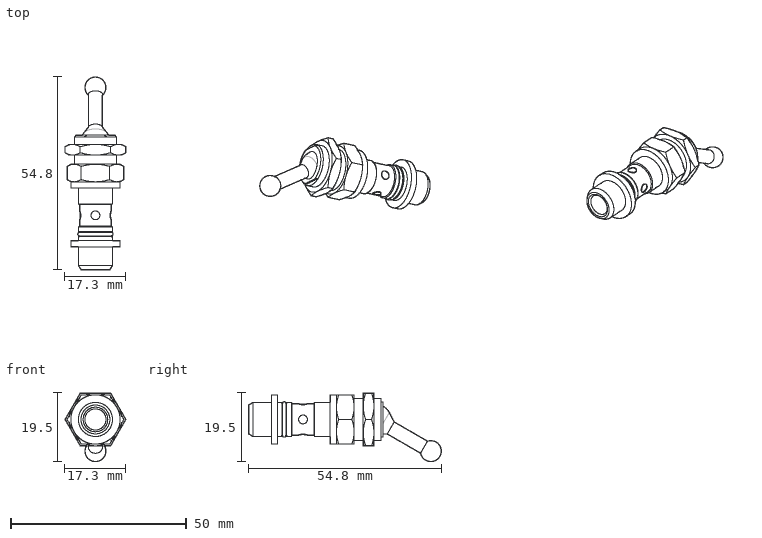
import cadquery as cq
import math

OVERALL_LENGTH = 54.81
SPIGOT_R = 4.85
FLANGE_R = 7.0
FLANGE_THICKNESS = 1.8
THREAD_R = 6.0
TIP_CHAMFER_LENGTH = 1.2
TIP_CHAMFER_DEPTH = 0.75

LOWER_FLANGE_START = 6.5
UPPER_FLANGE_START = 23.2
HEX_START = UPPER_FLANGE_START + FLANGE_THICKNESS
HEX_LENGTH = 5.0
NUT_START = 32.6
NUT_LENGTH = 3.05
COLLAR_SHOULDER = 37.7
COLLAR_END = 38.25

WAIST_R = 4.5
WAIST_START = 12.2
WAIST_END = 18.75
WAIST_BEVEL_LENGTH = 0.2
RECESS_R = 1.25
RECESS_FLOOR_R = 4.3
RECESS_Y = (WAIST_START + WAIST_END) / 2

GROOVE_WIDTH = 1.4
RING_Y = 10.15
RING_OUTER_R = 5.05
RING_SECTION_R = 0.5
GROOVE_R = RING_OUTER_R - RING_SECTION_R

HEX_ACROSS_FLATS = 14.0
NUT_ACROSS_FLATS = 15.0
HEX_CHAMFER_ANGLE = math.radians(30)

COLLAR_BEVEL = 0.45
COLLAR_FLAT_HALF_HEIGHT = 5.0

BORE_R = 3.0
BORE_DEPTH = 9.0
BORE_CHAMFER = 0.5

LEVER_TILT = 30.0
LEVER_LENGTH = 18.0
LEVER_ROD_R = 2.0
KNOB_R = 3.0
PIVOT_BALL_R = 4.3
PIVOT_CONE_START = 2.3
PIVOT_CONE_END = 4.84
PIVOT_Y = OVERALL_LENGTH - KNOB_R - LEVER_LENGTH * math.cos(math.radians(LEVER_TILT))


def along_y(start):
    """Workplane normal to +Y at the given station."""
    return cq.Workplane("XZ", origin=(0, start, 0)).workplane(invert=True)


def cylinder(radius, start, end):
    return along_y(start).circle(radius).extrude(end - start)


def revolved(points):
    """Turn an outline of (radius, station) points about the valve axis."""
    return cq.Workplane("XY").polyline(points).close().revolve(360, (0, 0, 0), (0, 1, 0))


def chamfered_hexagon(across_flats, start, length):
    """Hexagon with corners on the X axis, both ends turned down to the inscribed circle."""
    corner_r = across_flats / math.sqrt(3)
    flat_r = across_flats / 2
    drop = (corner_r - flat_r) * math.tan(HEX_CHAMFER_ANGLE)
    end = start + length
    prism = along_y(start).polygon(6, 2 * corner_r).extrude(length)
    envelope = revolved([
        (0, start),
        (flat_r, start),
        (corner_r, start + drop),
        (corner_r, end - drop),
        (flat_r, end),
        (0, end),
    ])
    return prism.intersect(envelope)


def spigot():
    """Tapered tip, sealing ring groove and waist as one turned outline."""
    groove_start = RING_Y - GROOVE_WIDTH / 2
    groove_end = RING_Y + GROOVE_WIDTH / 2
    return revolved([
        (0, 0),
        (SPIGOT_R - TIP_CHAMFER_DEPTH, 0),
        (SPIGOT_R, TIP_CHAMFER_LENGTH),
        (SPIGOT_R, groove_start),
        (GROOVE_R, groove_start),
        (GROOVE_R, groove_end),
        (SPIGOT_R, groove_end),
        (SPIGOT_R, WAIST_START),
        (WAIST_R, WAIST_START + WAIST_BEVEL_LENGTH),
        (WAIST_R, WAIST_END - WAIST_BEVEL_LENGTH),
        (SPIGOT_R, WAIST_END),
        (SPIGOT_R, HEX_START),
        (0, HEX_START),
    ])


def sealing_ring():
    """Outer half of the round section, standing on the groove floor."""
    ring_start = RING_Y - RING_SECTION_R
    ring_end = RING_Y + RING_SECTION_R
    section = (
        cq.Workplane("XY")
        .moveTo(0, ring_start)
        .lineTo(GROOVE_R, ring_start)
        .threePointArc((RING_OUTER_R, RING_Y), (GROOVE_R, ring_end))
        .lineTo(0, ring_end)
        .close()
    )
    return section.revolve(360, (0, 0, 0), (0, 1, 0))


def collar():
    """Threaded neck whose bevelled end carries two flats, above and below the lever."""
    neck = revolved([
        (0, HEX_START),
        (THREAD_R, HEX_START),
        (THREAD_R, COLLAR_SHOULDER),
        (THREAD_R - COLLAR_BEVEL, COLLAR_END),
        (0, COLLAR_END),
    ])
    tip_length = COLLAR_END - COLLAR_SHOULDER
    tip_center_y = COLLAR_SHOULDER + tip_length / 2
    side_height = THREAD_R - COLLAR_FLAT_HALF_HEIGHT
    waste_center_z = COLLAR_FLAT_HALF_HEIGHT + side_height / 2
    for side in (1, -1):
        waste = cq.Workplane("XY").box(2 * THREAD_R, tip_length, side_height)
        neck = neck.cut(waste.translate((0, tip_center_y, side * waste_center_z)))
    return neck


def bore():
    return revolved([
        (0, 0),
        (BORE_R + BORE_CHAMFER, 0),
        (BORE_R, BORE_CHAMFER),
        (BORE_R, BORE_DEPTH),
        (0, BORE_DEPTH),
    ])


def waist_recesses():
    """Four round recesses, one on each side of the waist, with a floor that follows the waist."""
    cutters = cq.Workplane("XY")
    for plane in ("XY", "YZ"):
        section = cq.Workplane(plane, origin=(0, RECESS_Y, 0)).circle(RECESS_R)
        cutters = cutters.union(section.extrude(SPIGOT_R, both=True))
    return cutters.cut(cylinder(RECESS_FLOOR_R, WAIST_START, WAIST_END))


def build_lever():
    """Pivot ball, cone, rod and knob, built along Y and then tilted."""
    cone_start_r = math.sqrt(PIVOT_BALL_R**2 - PIVOT_CONE_START**2)
    knob_start = LEVER_LENGTH - math.sqrt(KNOB_R**2 - LEVER_ROD_R**2)
    outline = (
        cq.Workplane("XY")
        .moveTo(0, -PIVOT_BALL_R)
        .threePointArc((PIVOT_BALL_R, 0), (cone_start_r, PIVOT_CONE_START))
        .lineTo(LEVER_ROD_R, PIVOT_CONE_END)
        .lineTo(LEVER_ROD_R, knob_start)
        .threePointArc((KNOB_R, LEVER_LENGTH), (0, LEVER_LENGTH + KNOB_R))
        .close()
    )
    upright = outline.revolve(360, (0, 0, 0), (0, 1, 0))
    return upright.rotate((0, 0, 0), (1, 0, 0), -LEVER_TILT).translate((0, PIVOT_Y, 0))


def build_housing(lever):
    housing = spigot().union(sealing_ring()).union(collar())
    for start in (LOWER_FLANGE_START, UPPER_FLANGE_START):
        housing = housing.union(cylinder(FLANGE_R, start, start + FLANGE_THICKNESS))
    housing = housing.union(chamfered_hexagon(HEX_ACROSS_FLATS, HEX_START, HEX_LENGTH))
    housing = housing.union(chamfered_hexagon(NUT_ACROSS_FLATS, NUT_START, NUT_LENGTH))
    return housing.cut(bore()).cut(waist_recesses()).cut(lever)


lever = build_lever()
housing = build_housing(lever)

result = cq.Compound.makeCompound([housing.val(), lever.val()])